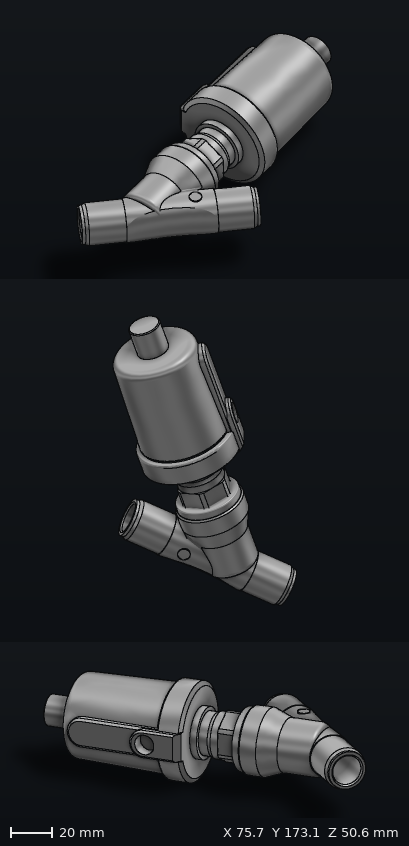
import cadquery as cq
import math


overall_length = 173.1

bonnet_bottom = -0.3
cone_bottom = 19.2
cone_top = 28.9
seat_face = 38.5
flange_top = 42.2
hex_top = 51.2
collet_top = 55.2
stem_bottom = 57.1
spigot_bottom = 61.8
collar_bottom = 65.5
collar_top = 77.9
groove_top = 79.0
housing_top = 130.0

bonnet_radius = 13.7
bonnet_head_radius = 17.3
flange_radius = 16.3
hex_corner_radius = 13.2
collet_radius = 12.0
stem_radius = 11.0
spigot_radius = 13.2
collar_radius = 25.3
groove_radius = 22.3
housing_base_radius = 22.9
housing_crown_radius = 21.5
stub_radius = 8.0

bonnet_bottom_round = 3.1
bonnet_head_chamfer = 0.9
flange_round = 1.0
hex_root_fillet = 0.5
collar_bottom_chamfer_height = 1.4
collar_bottom_chamfer_width = 2.5
collar_top_round = 1.2
housing_crown_round = 4.2
stub_chamfer = 0.5

pipe_angle = 45
pipe_start = -30.1
pipe_end = 57.5
pipe_radius = 21.3 / 2
lip_radius = 9.7
lip_length = 1.5
shoulder_length = 1.7
bore_radius = 14.7 / 2
bore_mouth_radius = 8.1

pipe_slope = math.radians(pipe_angle)
pipe_lowest = pipe_start * math.sin(pipe_slope) - lip_radius * math.cos(pipe_slope)
stub_top = pipe_lowest + overall_length

waist_start = -8.5
waist_end = 36.5
waist_radius = 22.0 / 2
waist_thickness = 9.0
waist_curve_radius = 138.5
waist_section_radius = 13.9
junction_fillet = 1.0

pad_position = 26.7
pad_radius = 3.1
pad_height = 11.3

rail_face = 24.5
rail_half_width = 7.5
rail_tip = 125.7
rail_chamfer = 1.2
block_face = 27.2
block_half_width = 7.1
block_tip = 91.5
block_chamfer = 1.0
block_bottom_chamfer = 3.1
port_position = 83.5
port_radius = 5.0
port_depth = 7.0

selection_margin = 0.2


def revolve_profile(points):
    """Revolve (radius, y) points, closed along the axis, about the Y axis."""
    closed = [(0, points[0][1]), *points, (0, points[-1][1])]
    return cq.Workplane("XY").polyline(closed).close().revolve(360, (0, 0, 0), (0, 1, 0))


def stem_cylinder(radius, bottom, top):
    return revolve_profile([(radius, bottom), (radius, top)])


def side_bar(half_width, face, tip, chamfer):
    """Bar with one round end that stands out of the housing to x = -face."""
    bar = (
        cq.Workplane("YZ", origin=(-face, 0, 0))
        .moveTo(collar_bottom, -half_width)
        .lineTo(tip - half_width, -half_width)
        .threePointArc((tip, 0), (tip - half_width, half_width))
        .lineTo(collar_bottom, half_width)
        .close()
        .extrude(face)
    )
    return bar.faces("<X").edges("not(<Y)").chamfer(chamfer)


def make_actuator():
    housing = revolve_profile([
        (housing_base_radius, groove_top),
        (housing_crown_radius, housing_top),
    ]).faces(">Y").edges().fillet(housing_crown_round)
    groove = stem_cylinder(groove_radius, collar_top, groove_top)
    collar = revolve_profile([
        (collar_radius - collar_bottom_chamfer_width, collar_bottom),
        (collar_radius, collar_bottom + collar_bottom_chamfer_height),
        (collar_radius, collar_top),
    ]).faces(">Y").edges().fillet(collar_top_round)
    stub = stem_cylinder(stub_radius, housing_top, stub_top).faces(">Y").edges().chamfer(stub_chamfer)
    spigot = stem_cylinder(spigot_radius, spigot_bottom, collar_bottom)
    rail = side_bar(rail_half_width, rail_face, rail_tip, rail_chamfer)
    block = side_bar(block_half_width, block_face, block_tip, block_chamfer)
    corner_cut = (
        cq.Workplane("XY")
        .polyline([
            (-block_face, collar_bottom),
            (-block_face, collar_bottom + block_bottom_chamfer),
            (-block_face + block_bottom_chamfer, collar_bottom),
        ])
        .close()
        .extrude(rail_half_width, both=True)
    )
    side = rail.union(block).cut(corner_cut)
    port = (
        cq.Workplane("YZ", origin=(-block_face, 0, 0))
        .center(port_position, 0)
        .circle(port_radius)
        .extrude(port_depth)
    )
    return housing.union(groove).union(collar).union(stub).union(spigot).union(side).cut(port)


def make_neck():
    flange = stem_cylinder(flange_radius, seat_face, flange_top).faces(">Y").edges().fillet(flange_round)
    hexagon = (
        cq.Workplane("XZ", origin=(0, hex_top, 0))
        .transformed(rotate=(0, 0, 30))
        .polygon(6, 2 * collet_radius / math.cos(math.pi / 6))
        .extrude(hex_top - flange_top)
        .intersect(stem_cylinder(hex_corner_radius, flange_top, hex_top))
    )
    upper = revolve_profile([
        (collet_radius, hex_top),
        (collet_radius, collet_top),
        (stem_radius, stem_bottom),
        (stem_radius, spigot_bottom),
    ])
    reach = hex_corner_radius + selection_margin
    root = cq.selectors.BoxSelector(
        (-reach, flange_top - selection_margin, -reach),
        (reach, flange_top + selection_margin, reach),
        boundingbox=True,
    )
    return flange.union(hexagon).edges(root).fillet(hex_root_fillet).union(upper)


def revolve_about_pipe(points):
    """Revolve (x, radius) points, which start and end on the axis, about the X axis."""
    return cq.Workplane("XY").polyline(points).close().revolve(360, (0, 0, 0), (1, 0, 0))


def along_pipe(shape):
    """Turn a shape built along X into the pipe direction."""
    return shape.rotate((0, 0, 0), (0, 0, 1), pipe_angle)


def pipe_cylinder(radius, start, end):
    return cq.Workplane("YZ", origin=(start, 0, 0)).circle(radius).extrude(end - start)


def make_pipe_tubes():
    shoulder_start = pipe_start + lip_length + shoulder_length
    shoulder_end = pipe_end - lip_length - shoulder_length
    profile = [
        (pipe_start, 0),
        (pipe_start, lip_radius),
        (pipe_start + lip_length, lip_radius),
        (shoulder_start, pipe_radius),
        (shoulder_end, pipe_radius),
        (pipe_end - lip_length, lip_radius),
        (pipe_end, lip_radius),
        (pipe_end, 0),
    ]
    tube = revolve_about_pipe(profile)
    return tube.cut(pipe_cylinder(waist_radius, waist_start, waist_end))


def make_waist():
    """Middle of the pipe, hollowed on the side away from the bonnet by the inside of a ring."""
    middle = (waist_start + waist_end) / 2
    section_centre = -waist_thickness + waist_section_radius
    ring_axis = -waist_thickness - waist_curve_radius
    ring = (
        cq.Workplane("YZ", origin=(middle, 0, 0))
        .center(section_centre, 0)
        .circle(waist_section_radius)
        .revolve(360, (ring_axis - section_centre, -1.7), (ring_axis - section_centre, 1.7))
    )
    return pipe_cylinder(waist_radius, waist_start, waist_end).intersect(ring)


def make_pads():
    return (
        cq.Workplane("XY")
        .center(pad_position, 0)
        .circle(pad_radius)
        .extrude(pad_height, both=True)
    )


def make_bore():
    mouth_depth = bore_mouth_radius - bore_radius
    profile = [
        (pipe_start, 0),
        (pipe_start, bore_mouth_radius),
        (pipe_start + mouth_depth, bore_radius),
        (pipe_end - mouth_depth, bore_radius),
        (pipe_end, bore_mouth_radius),
        (pipe_end, 0),
    ]
    return along_pipe(revolve_about_pipe(profile))


def make_valve_body():
    bonnet = revolve_profile([
        (bonnet_radius, bonnet_bottom),
        (bonnet_radius, cone_bottom),
        (bonnet_head_radius, cone_top),
        (bonnet_head_radius, seat_face),
    ])
    bonnet = bonnet.faces("<Y").edges().fillet(bonnet_bottom_round)
    bonnet = bonnet.faces(">Y").edges().chamfer(bonnet_head_chamfer)
    pipe = along_pipe(make_waist().union(make_pads()).union(make_pipe_tubes()))
    body = bonnet.union(pipe)
    cone_junction = cq.selectors.BoxSelector(
        (0, cone_bottom - selection_margin, -waist_radius),
        (bonnet_head_radius, cone_top + selection_margin, waist_radius),
        boundingbox=True,
    )
    return body.edges(cone_junction).fillet(junction_fillet).cut(make_bore())


actuator = make_actuator()
neck = make_neck()
valve_body = make_valve_body()

result = cq.Compound.makeCompound([actuator.val(), neck.val(), valve_body.val()])